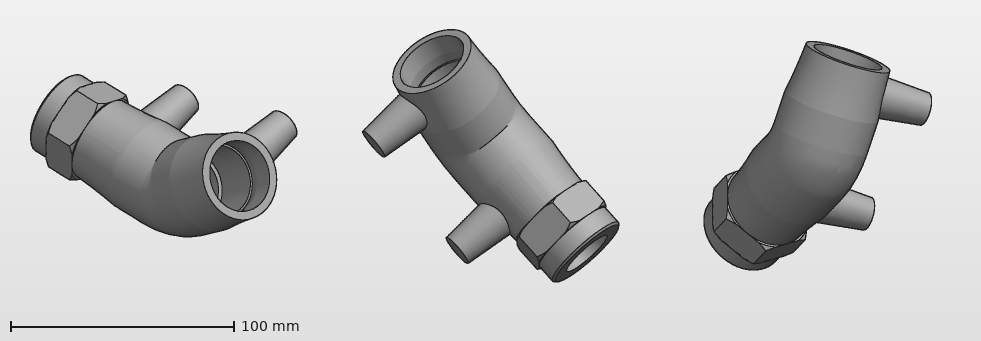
import math

import cadquery as cq


bend_angle = 45.0
bend_radius = 20.4
body_radius = 22.0
arm_end_radius = 19.8
arm_length = 39.0
arm_taper_length = 23.5
flare_sag = 0.3

collar_radius = 19.8
collar_chamfer = 1.0
collar_length = 9.8
fitting_length = 25.0
hex_across_flats = 39.6
hex_corner_radius = hex_across_flats / 2 / math.cos(math.radians(30))
hex_chamfer_radial = 2.0
hex_chamfer_axial = 1.5

thread_bore_radius = 24.12 / 2
inlet_bore_radius = 23.0 / 2
bend_bore_radius = 14.0
socket_radius = 16.0
groove_radius = 17.0
groove_start = 10.25
groove_end = 15.8

nipple_tip_y = 43.0
nipple_tip_radius = 7.6
nipple_draft = 5.0
nipple_from_arm_end = 14.0

bend_start_x = fitting_length + arm_length
turn = math.radians(bend_angle)
outlet_direction = (math.cos(turn), math.sin(turn))
bend_end = (
    bend_start_x + bend_radius * math.sin(turn),
    bend_radius * (1 - math.cos(turn)),
)


def point_on_outlet(distance):
    """X and Z of the point on the outlet axis this far beyond the bend."""
    return (
        bend_end[0] + distance * outlet_direction[0],
        bend_end[1] + distance * outlet_direction[1],
    )


outlet_end = point_on_outlet(arm_length)
inlet_plane = cq.Plane(origin=(fitting_length, 0, 0), xDir=(1, 0, 0), normal=(0, -1, 0))
outlet_plane = cq.Plane(
    origin=(outlet_end[0], 0, outlet_end[1]),
    xDir=(-outlet_direction[0], 0, -outlet_direction[1]),
    normal=(0, -1, 0),
)


def turned(profile):
    """Close a profile and turn it fully about the local X axis."""
    return profile.close().revolve(360, (0, 0, 0), (1, 0, 0))


def arm_solid(plane):
    """Solid arm whose free end flares up to the body radius along a hollow arc."""
    arc_middle = (
        arm_taper_length / 2,
        (arm_end_radius + body_radius) / 2 - flare_sag,
    )
    return turned(
        cq.Workplane(plane)
        .lineTo(0, arm_end_radius)
        .threePointArc(arc_middle, (arm_taper_length, body_radius))
        .lineTo(arm_length, body_radius)
        .lineTo(arm_length, 0)
    )


def revolve_bend(section):
    """Turn a section standing at the bend start about the bend axis."""
    return section.revolve(bend_angle, (0, bend_radius, 0), (-1, bend_radius, 0))


def bend_section():
    """Workplane across the inlet axis at the bend start; local Y is Z."""
    return cq.Workplane("YZ", origin=(bend_start_x, 0, 0))


def bend_solid():
    """Bend; its circular section is cut off flat where it would cross the bend axis."""
    half_flat = math.sqrt(body_radius**2 - bend_radius**2)
    return revolve_bend(
        bend_section()
        .moveTo(-half_flat, bend_radius)
        .threePointArc((0, -body_radius), (half_flat, bend_radius))
        .close()
    )


def end_fitting():
    """Collar and hexagon with two corners pointing along Z."""
    collar = (
        cq.Workplane("YZ")
        .circle(collar_radius)
        .extrude(fitting_length)
        .faces("<X")
        .chamfer(collar_chamfer)
    )
    hexagon = (
        cq.Workplane("YZ", origin=(collar_length, 0, 0))
        .transformed(rotate=(0, 0, 90))
        .polygon(6, 2 * hex_corner_radius)
        .extrude(fitting_length - collar_length)
    )
    face_radius = hex_corner_radius - hex_chamfer_radial
    corner_envelope = turned(
        cq.Workplane("XZ")
        .moveTo(collar_length, 0)
        .lineTo(collar_length, face_radius)
        .lineTo(collar_length + hex_chamfer_axial, hex_corner_radius)
        .lineTo(fitting_length - hex_chamfer_axial, hex_corner_radius)
        .lineTo(fitting_length, face_radius)
        .lineTo(fitting_length, 0)
    )
    return collar.union(hexagon.intersect(corner_envelope))


def nipple(x, z):
    """Nipple tapering from the pipe axis out to its tip in +Y."""
    root_radius = nipple_tip_radius + nipple_tip_y * math.tan(math.radians(nipple_draft))
    root_center = cq.Vector(x, 0, z)
    outward = cq.Vector(0, 1, 0)
    cone = cq.Solid.makeCone(root_radius, nipple_tip_radius, nipple_tip_y, root_center, outward)
    return cq.Workplane(obj=cone)


def inlet_bore():
    """Thread bore through the end fitting, then a narrower bore up to the bend."""
    return turned(
        cq.Workplane("XZ")
        .lineTo(0, thread_bore_radius)
        .lineTo(fitting_length, thread_bore_radius)
        .lineTo(fitting_length, inlet_bore_radius)
        .lineTo(bend_start_x, inlet_bore_radius)
        .lineTo(bend_start_x, 0)
    )


def bend_bore():
    """Round passage through the bend."""
    return revolve_bend(bend_section().circle(bend_bore_radius))


def outlet_socket():
    """Socket along the whole outlet arm, with a groove that widens inward to a square step."""
    return turned(
        cq.Workplane(outlet_plane)
        .lineTo(0, socket_radius)
        .lineTo(groove_start, socket_radius)
        .lineTo(groove_end, groove_radius)
        .lineTo(groove_end, socket_radius)
        .lineTo(arm_length, socket_radius)
        .lineTo(arm_length, 0)
    )


body = arm_solid(inlet_plane).union(bend_solid()).union(arm_solid(outlet_plane))
body = body.union(end_fitting())

inlet_nipple_place = (fitting_length + nipple_from_arm_end, 0)
outlet_nipple_place = point_on_outlet(arm_length - nipple_from_arm_end)
for nipple_x, nipple_z in (inlet_nipple_place, outlet_nipple_place):
    body = body.union(nipple(nipple_x, nipple_z))

result = body.cut(inlet_bore()).cut(bend_bore()).cut(outlet_socket())